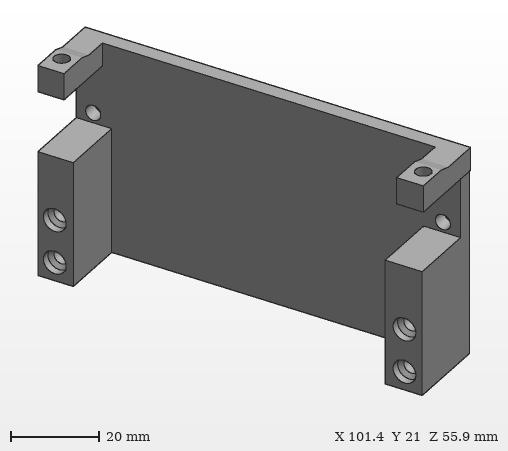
import cadquery as cq

OVERALL_WIDTH = 101.4
DEPTH = 21.0
HEIGHT = 55.9
RIGHT_OVERHANG = 0.3
PLATE_WIDTH = OVERALL_WIDTH - RIGHT_OVERHANG
PLATE_THICKNESS = 4.0
PLATE_HEIGHT = 55.0
PLATE_FRONT = DEPTH - PLATE_THICKNESS

BLOCK_HEIGHT = 33.0
LEFT_BLOCK_WIDTH = 9.3
RIGHT_BLOCK_WIDTH = 9.7

ARM_BOTTOM = 48.9
LEFT_ARM_WIDTH = 6.9
RIGHT_ARM_WIDTH = 7.0
PAD_LENGTH = 7.9
RAMP_END = 11.1

HOLE_DIAMETER = 4.0
RECESS_DIAMETER = 6.0
RECESS_DEPTH = 2.0
RECESS_TAPER_LENGTH = 1.0
LEFT_HOLE_X = 4.5
RIGHT_HOLE_X = 96.5
LOWER_HOLE_Z = 4.9
MIDDLE_HOLE_Z = 16.1
UPPER_HOLE_Z = 35.6
LEFT_ARM_HOLE_X = 3.1
RIGHT_ARM_HOLE_X = 98.3
ARM_HOLE_Y = 5.3


def block(left_x, width):
    """Full-depth mounting block standing on the bottom plane."""
    return cq.Workplane("XY").box(width, DEPTH, BLOCK_HEIGHT, centered=False).translate((left_x, 0, 0))


def arm(left_x, width):
    """Forward arm whose top ramps up from plate height to the pad."""
    profile = [
        (0, ARM_BOTTOM),
        (DEPTH, ARM_BOTTOM),
        (DEPTH, PLATE_HEIGHT),
        (RAMP_END, PLATE_HEIGHT),
        (PAD_LENGTH, HEIGHT),
        (0, HEIGHT),
    ]
    return cq.Workplane("YZ", origin=(left_x, 0, 0)).polyline(profile).close().extrude(width)


def bore_along_y(x, z):
    """Round cutter passing from front to back."""
    return cq.Workplane("XZ", origin=(x, 0, z)).circle(HOLE_DIAMETER / 2).extrude(-DEPTH)


def tapered_recess(x, z):
    """Front recess cutter: a short cylinder, then a cone narrowing to the hole."""
    recess_end = RECESS_DEPTH + RECESS_TAPER_LENGTH
    profile = [
        (0, 0),
        (RECESS_DIAMETER / 2, 0),
        (RECESS_DIAMETER / 2, RECESS_DEPTH),
        (HOLE_DIAMETER / 2, recess_end),
        (0, recess_end),
    ]
    cutter = cq.Workplane("XY").polyline(profile).close().revolve(360, (0, 0), (0, 1))
    return cutter.translate((x, 0, z))


def bore_along_z(x):
    """Round cutter passing down through an arm."""
    return (
        cq.Workplane("XY", origin=(x, ARM_HOLE_Y, ARM_BOTTOM))
        .circle(HOLE_DIAMETER / 2)
        .extrude(HEIGHT - ARM_BOTTOM)
    )


result = (
    cq.Workplane("XY")
    .box(PLATE_WIDTH, PLATE_THICKNESS, PLATE_HEIGHT, centered=False)
    .translate((0, PLATE_FRONT, 0))
    .union(block(0, LEFT_BLOCK_WIDTH))
    .union(block(PLATE_WIDTH - RIGHT_BLOCK_WIDTH, RIGHT_BLOCK_WIDTH))
    .union(arm(0, LEFT_ARM_WIDTH))
    .union(arm(OVERALL_WIDTH - RIGHT_ARM_WIDTH, RIGHT_ARM_WIDTH))
)

for hole_x in (LEFT_HOLE_X, RIGHT_HOLE_X):
    for hole_z in (LOWER_HOLE_Z, MIDDLE_HOLE_Z, UPPER_HOLE_Z):
        result = result.cut(bore_along_y(hole_x, hole_z))
    for hole_z in (LOWER_HOLE_Z, MIDDLE_HOLE_Z):
        result = result.cut(tapered_recess(hole_x, hole_z))

for hole_x in (LEFT_ARM_HOLE_X, RIGHT_ARM_HOLE_X):
    result = result.cut(bore_along_z(hole_x))